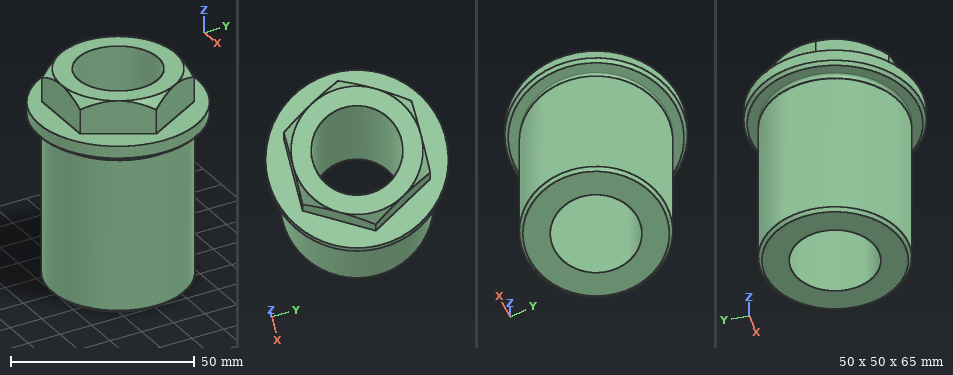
import cadquery as cq
import math

total_height = 65.0
hex_height = 10.35
flange_thickness = 4.7
groove_width = 2.0
flange_top = total_height - hex_height
flange_bottom = flange_top - flange_thickness
sleeve_top = flange_bottom - groove_width

flange_radius = 50.0 / 2
sleeve_radius = 42.0 / 2
bore_radius = 25.0 / 2
hex_across_flats = 36.0
groove_depth = 0.85
edge_chamfer = 1.0

hex_flat_radius = hex_across_flats / 2
hex_corner_radius = hex_flat_radius / math.cos(math.pi / 6)


def make_sleeve_and_flange():
    """Revolved sleeve, rounded undercut and flange, with chamfered lower rims."""
    groove_root_radius = sleeve_radius - groove_depth
    groove_radius = groove_depth / 2 + groove_width**2 / (8 * groove_depth)
    groove_middle = sleeve_top + groove_width / 2
    profile = (
        cq.Workplane("XZ")
        .lineTo(sleeve_radius - edge_chamfer, 0)
        .lineTo(sleeve_radius, edge_chamfer)
        .lineTo(sleeve_radius, sleeve_top)
        .radiusArc((groove_root_radius, groove_middle), groove_radius)
        .radiusArc((sleeve_radius, flange_bottom), groove_radius)
        .lineTo(flange_radius - edge_chamfer, flange_bottom)
        .lineTo(flange_radius, flange_bottom + edge_chamfer)
        .lineTo(flange_radius, flange_top)
        .lineTo(0, flange_top)
        .close()
    )
    return profile.revolve(360, (0, 0, 0), (0, 1, 0))


def make_hex_head():
    """Hexagon with corners on the X axis, its top corners cut by a 45 degree cone."""
    prism = (
        cq.Workplane("XY")
        .workplane(offset=flange_top)
        .polygon(6, 2 * hex_corner_radius)
        .extrude(hex_height)
    )
    corner_cut = hex_corner_radius - hex_flat_radius
    turned_envelope = (
        cq.Workplane("XY")
        .workplane(offset=flange_top)
        .circle(hex_corner_radius)
        .extrude(hex_height)
        .faces(">Z")
        .chamfer(corner_cut)
    )
    return prism.intersect(turned_envelope)


bore = cq.Workplane("XY").circle(bore_radius).extrude(total_height)

result = make_sleeve_and_flange().union(make_hex_head()).cut(bore)